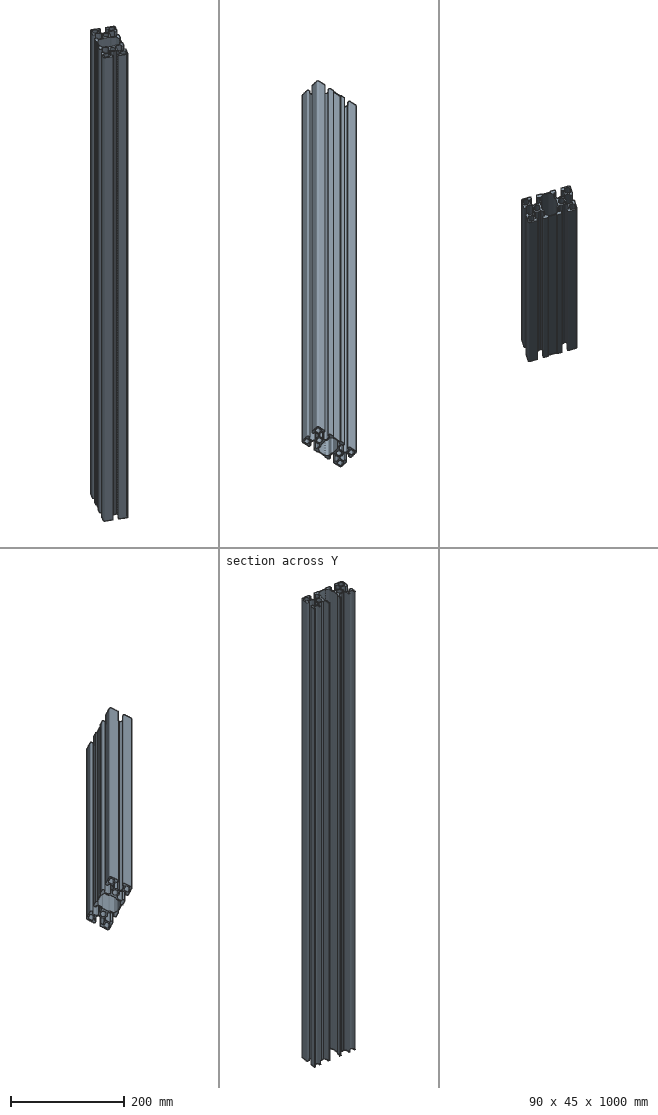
import cadquery as cq

length = 1000.0
cell_size = 45.0
width = 2 * cell_size
depth = cell_size
half_depth = depth / 2
cell_offset = cell_size / 2
corner_radius = 3.0

slot_opening = 10.0
mouth_radius = 1.5
lip_thickness = 5.0
slot_width = 17.0
core_half_width = 6.5
slot_depth = half_depth - core_half_width
floor_chamfer = 3.5
ridge_height = 1.5
ridge_width = 9.0
slot_radius = 0.5

core_bore = 10.0

corner_hollow = 9.0
corner_wall = 2.5
corner_hollow_radius = 1.5

cavity_half_width = 14.0
cavity_neck_half_width = 12.0
cavity_step_inner = 6.0
cavity_step_outer = 8.0
cavity_shoulder = 16.0
cavity_half_height = 20.0
cavity_roof_half_width = 5.0
cavity_radius = 0.5

recess_half_width = 8.5
recess_floor_half_width = 7.5
recess_depth = 1.5


def mirrored(half_outline):
    """Complete an outline given on the +X side with its mirror image."""
    return half_outline + [(-x, y) for x, y in reversed(half_outline)]


def prism(points):
    """Extrude a closed outline over the full length."""
    return cq.Workplane("XY").polyline(points).close().extrude(length)


def make_slot():
    """T-slot opening toward +Y, with its mouth at Y = 0 and its middle at X = 0."""
    chamber = prism(mirrored([
        (ridge_width / 2, -slot_depth),
        (slot_width / 2 - floor_chamfer, -slot_depth),
        (slot_width / 2, -slot_depth + floor_chamfer),
        (slot_width / 2, -lip_thickness),
    ])).edges("|Z and (>X or <X)").fillet(slot_radius)
    ridge = prism([
        (-ridge_width / 2, -slot_depth),
        (0, -slot_depth + ridge_height),
        (ridge_width / 2, -slot_depth),
    ])
    half_opening = slot_opening / 2
    mouth = (
        cq.Workplane("XY")
        .moveTo(-half_opening, -lip_thickness)
        .lineTo(half_opening, -lip_thickness)
        .lineTo(half_opening, -mouth_radius)
        .radiusArc((half_opening + mouth_radius, 0), mouth_radius)
        .lineTo(-half_opening - mouth_radius, 0)
        .radiusArc((-half_opening, -mouth_radius), mouth_radius)
        .close()
        .extrude(length)
    )
    return chamber.cut(ridge).union(mouth)


def make_central_cavity():
    upper_right = [
        (cavity_half_width, cavity_step_inner),
        (cavity_neck_half_width, cavity_step_outer),
        (cavity_neck_half_width, cavity_shoulder),
        (cavity_roof_half_width, cavity_half_height),
    ]
    right_side = [(x, -y) for x, y in reversed(upper_right)] + upper_right
    return prism(mirrored(right_side)).edges("|Z").fillet(cavity_radius)


def make_corner_hollows():
    hollow_inset = corner_wall + corner_hollow / 2
    return (
        cq.Workplane("XY")
        .rect(width - 2 * hollow_inset, depth - 2 * hollow_inset, forConstruction=True)
        .vertices()
        .rect(corner_hollow, corner_hollow)
        .extrude(length)
        .edges("|Z")
        .fillet(corner_hollow_radius)
    )


def make_recess():
    """Recess in the +Y side, with slightly sloped walls."""
    return prism(mirrored([
        (recess_floor_half_width, half_depth - recess_depth),
        (recess_half_width, half_depth),
    ]))


def turned(shape, angle):
    """Turn a shape about the length axis of the profile."""
    return shape.rotate((0, 0, 0), (0, 0, 1), angle)


body = cq.Workplane("XY").rect(width, depth).extrude(length).edges("|Z").fillet(corner_radius)
body = body.cut(make_central_cavity()).cut(make_corner_hollows())

bores = (
    cq.Workplane("XY")
    .pushPoints([(-cell_offset, 0), (cell_offset, 0)])
    .circle(core_bore / 2)
    .extrude(length)
)
body = body.cut(bores)

top_slot = make_slot().translate((0, half_depth, 0))
end_slot = turned(top_slot, 90).translate((-cell_offset, 0, 0))
half_cuts = [
    top_slot.translate((-cell_offset, 0, 0)),
    top_slot.translate((cell_offset, 0, 0)),
    end_slot,
    make_recess(),
]
for cutter in half_cuts:
    body = body.cut(cutter).cut(turned(cutter, 180))

result = body